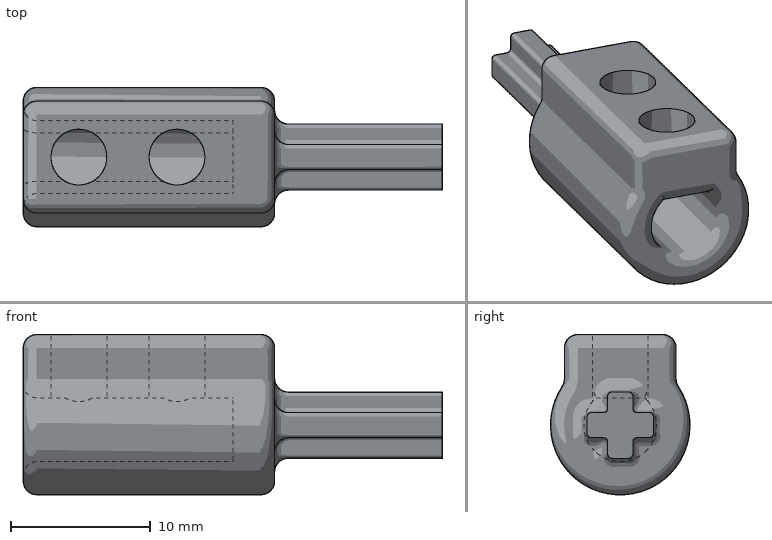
import cadquery as cq

total_length = 30.0
body_length = 18.0
barrel_diameter = 10.0
body_height = 11.5
block_width = 8.0
edge_radius = 1.0

socket_radius = 2.6
socket_flat_height = 1.95
socket_depth = 15.0

screw_diameter = 4.0
screw_positions = (4.0, 11.0)

shank_span = 4.75
arm_width = 1.8
arm_radius = 0.3

barrel_radius = barrel_diameter / 2
block_top = body_height - barrel_radius
selection_margin = 0.003


def edges_at(x, reach):
    """Selector for edges in the plane at x, within reach of the barrel axis."""
    outer = reach + selection_margin
    return cq.selectors.BoxSelector(
        (x - selection_margin, -outer, -outer),
        (x + selection_margin, outer, outer),
    )


def make_body():
    """Round barrel with a block along its top, all outer edges rounded."""
    barrel = cq.Workplane("YZ").circle(barrel_radius).extrude(body_length)
    block = cq.Workplane("XY").box(
        body_length, block_width, block_top, centered=(False, True, False)
    )
    body = barrel.union(block)
    upper_half = cq.selectors.BoxSelector(
        (0, -block_width, selection_margin),
        (body_length, block_width, body_height),
    )
    body = body.edges("|X").edges(upper_half).fillet(edge_radius)
    return body.faces("<X or >X").edges().fillet(edge_radius)


def make_socket():
    """Round bore with its upper side cut flat."""
    bore = cq.Workplane("YZ").circle(socket_radius).extrude(socket_depth)
    keep_height = socket_radius + socket_flat_height
    keep = cq.Workplane("XY").box(
        socket_depth, 2 * socket_radius, keep_height, centered=(False, True, False)
    ).translate((0, 0, -socket_radius))
    return bore.intersect(keep)


def make_shank():
    """Cross-section bar with rounded outer and inner corners."""
    length = total_length - body_length
    plane = cq.Workplane("YZ", origin=(body_length, 0, 0))
    upright = plane.rect(arm_width, shank_span).extrude(length)
    level = plane.rect(shank_span, arm_width).extrude(length)
    return upright.union(level).edges("|X").fillet(arm_radius)


def make_screw_holes():
    points = [(x, 0) for x in screw_positions]
    return cq.Workplane("XY").pushPoints(points).circle(screw_diameter / 2).extrude(body_height)


body = make_body().cut(make_socket())
body = body.edges(edges_at(0, socket_radius)).fillet(edge_radius)

body = body.union(make_shank())
body = body.edges(edges_at(body_length, shank_span / 2)).fillet(edge_radius)

result = body.cut(make_screw_holes())